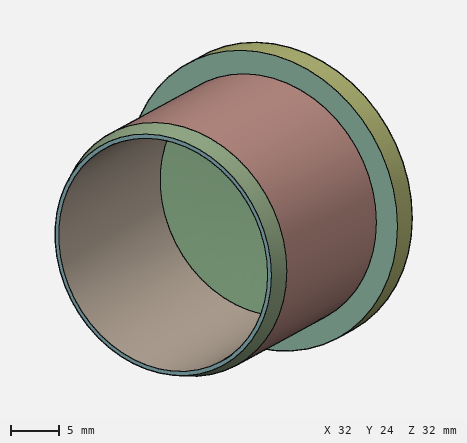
import cadquery as cq
import math

flange_diameter = 32.0
flange_thickness = 3.0
dome_height = 1.0
tube_diameter = 27.0
tube_length = 20.0
bore_diameter = 24.8
tip_taper_length = 2.0
tip_taper_angle = 18.0
head_wall = 3.0

flange_radius = flange_diameter / 2
tube_radius = tube_diameter / 2
bore_radius = bore_diameter / 2
tip_radius = tube_radius - tip_taper_length * math.tan(math.radians(tip_taper_angle))
dome_radius = (flange_radius**2 + dome_height**2) / (2 * dome_height)
floor_radius = dome_radius - head_wall

flange_edge = tube_length + flange_thickness
dome_top = flange_edge + dome_height
floor_top = dome_top - head_wall
dome_center = dome_top - dome_radius


def sphere_point(sphere_radius, axis_distance):
    """Section point on a sphere about the dome center, at a distance from the axis."""
    rise = math.sqrt(sphere_radius**2 - axis_distance**2)
    return (axis_distance, dome_center + rise)


def make_plug():
    """Revolve the half section of the hollow plug about the Y axis."""
    section = (
        cq.Workplane("XY")
        .moveTo(bore_radius, 0)
        .lineTo(tip_radius, 0)
        .lineTo(tube_radius, tip_taper_length)
        .lineTo(tube_radius, tube_length)
        .lineTo(flange_radius, tube_length)
        .lineTo(flange_radius, flange_edge)
        .threePointArc(sphere_point(dome_radius, flange_radius / 2), (0, dome_top))
        .lineTo(0, floor_top)
        .threePointArc(
            sphere_point(floor_radius, bore_radius / 2),
            sphere_point(floor_radius, bore_radius),
        )
        .close()
    )
    return section.revolve(360, (0, 0, 0), (0, 1, 0))


result = make_plug()